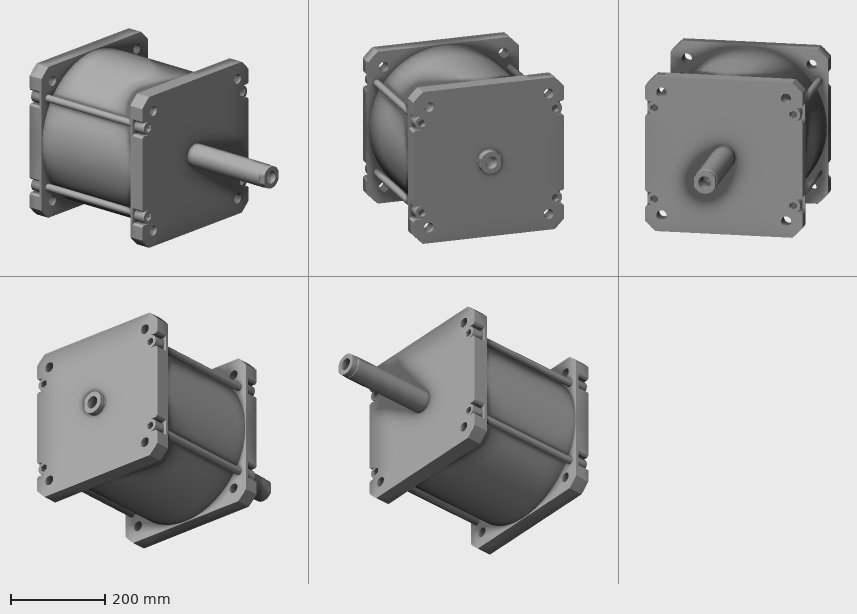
import cadquery as cq
import math

total_length = 550.0

plate_size = 340.0
plate_thickness = 34.0
corner_round_dia = 451.0
mount_hole_dia = 22.0
mount_hole_offset = 135.0

barrel_dia = 335.5
barrel_length = 251.5

tie_y = 150.0
tie_z = 100.0
tie_dia = 16.0
head_dia = 30.0
head_length = 27.5
recess_mouth_chamfer = 4.0
socket_flats = 15.5
socket_depth = 14.0

rod_dia = 50.5
tip_length = 15.5
tip_dia = 49.0
tip_flats = 45.0
flat_length = 13.0
shoulder_length = 1.0
bore_dia = 27.5
bore_depth = 55.0
drill_point_angle = 118.0

left_plate_start = tip_length
barrel_start = left_plate_start + plate_thickness
right_plate_start = barrel_start + barrel_length
right_plate_end = right_plate_start + plate_thickness
barrel_middle = barrel_start + barrel_length / 2
tie_places = [(y, z) for y in (-tie_y, tie_y) for z in (-tie_z, tie_z)]


def x_cylinder(diameter, start, length, y=0.0, z=0.0):
    """Cylinder parallel to X, from X = start."""
    return cq.Workplane("YZ", origin=(start, y, z)).circle(diameter / 2).extrude(length)


def mirrored(shape, middle):
    """Copy of a shape reflected in the plane X = middle."""
    return shape.mirror("YZ", basePointVector=(middle, 0, 0))


def head_recess(y, z):
    """Round-ended recess in the left plate that runs out through the nearest Y side."""
    outward = math.copysign(1, y)
    side = outward * plate_size / 2
    half_width = head_dia / 2
    half_mouth = half_width + recess_mouth_chamfer
    mouth_start = side - outward * recess_mouth_chamfer
    return (
        cq.Workplane("YZ", origin=(left_plate_start, 0, 0))
        .moveTo(y, z + half_width)
        .lineTo(mouth_start, z + half_width)
        .lineTo(side, z + half_mouth)
        .lineTo(side, z - half_mouth)
        .lineTo(mouth_start, z - half_width)
        .lineTo(y, z - half_width)
        .threePointArc((y - outward * half_width, z), (y, z + half_width))
        .close()
        .extrude(head_length)
    )


def make_left_plate():
    """Square plate whose corners are turned to a common circle about the axis."""
    plate = (
        cq.Workplane("YZ", origin=(left_plate_start, 0, 0))
        .rect(plate_size, plate_size)
        .extrude(plate_thickness)
    )
    plate = plate.intersect(x_cylinder(corner_round_dia, left_plate_start, plate_thickness))
    mount_holes = (
        cq.Workplane("YZ", origin=(left_plate_start, 0, 0))
        .rect(2 * mount_hole_offset, 2 * mount_hole_offset, forConstruction=True)
        .vertices()
        .circle(mount_hole_dia / 2)
        .extrude(plate_thickness)
    )
    plate = plate.cut(mount_holes)
    plate = plate.cut(x_cylinder(rod_dia, left_plate_start, plate_thickness))
    for y, z in tie_places:
        plate = plate.cut(head_recess(y, z))
        plate = plate.cut(x_cylinder(tie_dia, left_plate_start, plate_thickness, y, z))
    return plate


def make_barrel():
    """Cylinder between the inner faces of the plates, bored for the piston rod."""
    body = x_cylinder(barrel_dia, barrel_start, barrel_length)
    return body.cut(x_cylinder(rod_dia, barrel_start, barrel_length))


def make_tie_rod(y, z):
    """Tie rod with a hex-socket head flush with each plate's outer face."""
    shank = x_cylinder(tie_dia, left_plate_start, right_plate_end - left_plate_start, y, z)
    socket_corner_dia = socket_flats / math.cos(math.pi / 6)
    socket = (
        cq.Workplane("YZ", origin=(left_plate_start, y, z))
        .transformed(rotate=(0, 0, 90))
        .polygon(6, socket_corner_dia)
        .extrude(socket_depth)
    )
    head = x_cylinder(head_dia, left_plate_start, head_length, y, z)
    rod = shank.union(head).union(mirrored(head, barrel_middle))
    return rod.cut(socket).cut(mirrored(socket, barrel_middle))


def make_rod_bore():
    """Drilled hole with a conical bottom, entering from the left rod tip."""
    radius = bore_dia / 2
    point_length = radius / math.tan(math.radians(drill_point_angle / 2))
    return (
        cq.Workplane("XY")
        .polyline([(0, 0), (0, radius), (bore_depth, radius), (bore_depth + point_length, 0)])
        .close()
        .revolve(360, (0, 0, 0), (1, 0, 0))
    )


def make_tip_flats():
    """Material outside the two wrench flats of the left rod tip."""
    blank = cq.Workplane("YZ").circle(rod_dia / 2).extrude(flat_length)
    flatted_core = cq.Workplane("YZ").rect(tip_flats, rod_dia).extrude(flat_length)
    return blank.cut(flatted_core)


def make_piston_rod():
    """Turned rod with a short conical shoulder between each tip and the full diameter."""
    tip_radius = tip_dia / 2
    rod_radius = rod_dia / 2
    rod = (
        cq.Workplane("XY")
        .moveTo(0, 0)
        .lineTo(0, tip_radius)
        .lineTo(tip_length - shoulder_length, tip_radius)
        .lineTo(tip_length, rod_radius)
        .lineTo(total_length - tip_length, rod_radius)
        .lineTo(total_length - tip_length + shoulder_length, tip_radius)
        .lineTo(total_length, tip_radius)
        .lineTo(total_length, 0)
        .close()
        .revolve(360, (0, 0, 0), (1, 0, 0))
    )
    for removed in (make_tip_flats(), make_rod_bore()):
        rod = rod.cut(removed).cut(mirrored(removed, total_length / 2))
    return rod


left_plate = make_left_plate()
right_plate = mirrored(left_plate, barrel_middle)
barrel = make_barrel()
piston_rod = make_piston_rod()
tie_rods = [make_tie_rod(y, z) for y, z in tie_places]

result = cq.Compound.makeCompound(
    [left_plate.val(), right_plate.val(), barrel.val(), piston_rod.val()]
    + [tie_rod.val() for tie_rod in tie_rods]
)